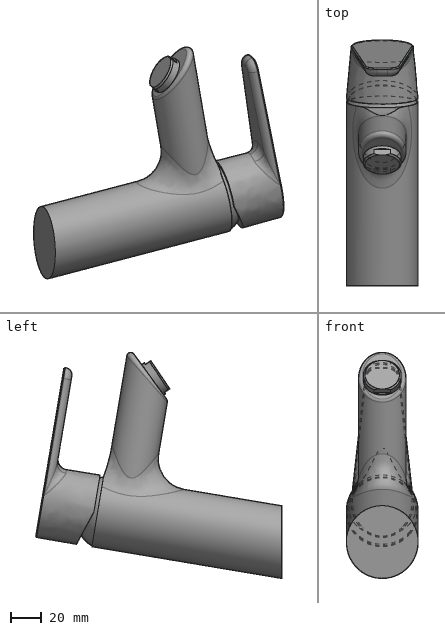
import cadquery as cq
import math

TILT = 9.5
SEARCH_MARGIN = 1.6

BODY_RADIUS = 23.2
BODY_BACK = 120.7
END_TRIM_ALLOWANCE = 15.9

SPOUT_RADIUS = 15.5
SPOUT_Y = 103.3
SPOUT_TOP = 119.4
SPOUT_BLEND = 19.9
REAR_CURVE_TOP = 41.4
REAR_CURVE_OFFSET = 0.5
MOUTH_HEIGHT = 93.3
MOUTH_ANGLE = 44.5
MOUTH_ROUND = 2.5

NOZZLE_RADIUS = 12.3
NOZZLE_END = (0, 95.4, 93.8)
NOZZLE_ANGLE = 46.5
NOZZLE_LENGTH = 12.7
NOZZLE_CHAMFER = 1.1
NOZZLE_FLATS = 22.0
FLAT_LENGTH = 4.1

CAP_FRONT = 123.0
CAP_BACK = 157.6
CAP_BACK_HALF_WIDTH = 20.0
CAP_FRONT_HALF_HEIGHT = 23.4
RELIEF_TOP = -0.8
RELIEF_DEPTH = 7.6
NECK_BACK = 135.3
NECK_BASE_RADIUS = 22.6
NECK_RADIUS = 17.8
NECK_CONE_BACK = 128.2
NECK_BULGE = 0.6

LEVER_THICKNESS = 6.0
LEVER_TOP = 88.2
LEVER_TIP_HALF_WIDTH = 10.5
LEVER_TIP_CORNER = 8.0
LEVER_EDGE_ROUND = 4.8
BACK_CHAMFER = 0.8
LEVER_BLEND = 6.4
LEVER_ROOT_ANGLE = 6
ROOT_HALF_WIDTH = 9.5
ROOT_BOTTOM = 12.7


def cylinder_along_y(radius, start, end):
    return cq.Workplane("XZ", origin=(0, start, 0)).circle(radius).extrude(start - end)


def make_spout():
    """Upright cylinder with a slanted, rounded mouth."""
    size = 4 * SPOUT_TOP
    spout = cq.Workplane("XY", origin=(0, SPOUT_Y, 0)).circle(SPOUT_RADIUS).extrude(SPOUT_TOP)
    above = cq.Workplane("XY").box(size, size, size).translate((0, 0, size / 2))
    above = above.rotate((0, 0, 0), (1, 0, 0), MOUTH_ANGLE).translate((0, SPOUT_Y, MOUTH_HEIGHT))
    return spout.cut(above).faces(">Z").edges().fillet(MOUTH_ROUND)


def make_body():
    """Barrel and spout with one blend, cut square at the back and upright at the front."""
    barrel = cylinder_along_y(BODY_RADIUS, -END_TRIM_ALLOWANCE, BODY_BACK + 2 * BODY_RADIUS)
    junction = cq.selectors.BoxSelector(
        (-BODY_RADIUS, SPOUT_Y - BODY_RADIUS, SEARCH_MARGIN),
        (BODY_RADIUS, SPOUT_Y + BODY_RADIUS, BODY_RADIUS + SEARCH_MARGIN),
    )
    body = barrel.union(make_spout()).edges(junction).fillet(SPOUT_BLEND)

    spout_back = SPOUT_Y + SPOUT_RADIUS
    far_back = BODY_BACK + 3 * BODY_RADIUS
    behind = (
        cq.Workplane("YZ")
        .moveTo(BODY_BACK, -2 * BODY_RADIUS)
        .lineTo(BODY_BACK, BODY_RADIUS)
        .threePointArc((spout_back + REAR_CURVE_OFFSET, (BODY_RADIUS + REAR_CURVE_TOP) / 2),
                       (spout_back, REAR_CURVE_TOP))
        .lineTo(far_back, REAR_CURVE_TOP)
        .lineTo(far_back, -2 * BODY_RADIUS)
        .close()
        .extrude(2 * BODY_RADIUS, both=True)
    )
    size = 4 * BODY_RADIUS
    front = cq.Workplane("XY").box(size, size, size).translate((0, -size / 2, 0))
    front = front.rotate((0, 0, 0), (1, 0, 0), -TILT)
    return body.cut(behind).cut(front)


def make_nozzle():
    """Short outlet with a chamfered end and two spanner flats."""
    nozzle = cq.Workplane("XY").circle(NOZZLE_RADIUS).extrude(-NOZZLE_LENGTH)
    nozzle = nozzle.faces(">Z").chamfer(NOZZLE_CHAMFER)
    end = cq.Workplane("XY").circle(NOZZLE_RADIUS).extrude(-FLAT_LENGTH)
    flats = end.cut(cq.Workplane("XY").box(2 * NOZZLE_RADIUS, NOZZLE_FLATS, 2 * FLAT_LENGTH))
    nozzle = nozzle.cut(flats)
    return nozzle.rotate((0, 0, 0), (1, 0, 0), NOZZLE_ANGLE).translate(NOZZLE_END)


def make_neck():
    """Rounded collar between the body and the cap, with a plain core inside the cap."""
    middle_radius = (NECK_BASE_RADIUS + NECK_RADIUS) / 2 + NECK_BULGE
    middle_y = (BODY_BACK + NECK_CONE_BACK) / 2
    return (
        cq.Workplane("XY")
        .moveTo(0, BODY_BACK)
        .lineTo(NECK_BASE_RADIUS, BODY_BACK)
        .threePointArc((middle_radius, middle_y), (NECK_RADIUS, NECK_CONE_BACK))
        .lineTo(NECK_RADIUS, NECK_BACK)
        .lineTo(0, NECK_BACK)
        .close()
        .revolve(360, (0, 0, 0), (0, 1, 0))
    )


def make_lever():
    """Blade tapering upward from the cap sides, rounded at the front and at the tip."""
    low_angle = math.radians(LEVER_ROOT_ANGLE)
    low_x = CAP_BACK_HALF_WIDTH * math.cos(low_angle)
    low_z = BODY_RADIUS * math.sin(low_angle)
    blade = (
        cq.Workplane("XZ", origin=(0, CAP_BACK, 0))
        .moveTo(-low_x, low_z)
        .lineTo(-LEVER_TIP_HALF_WIDTH, LEVER_TOP)
        .lineTo(LEVER_TIP_HALF_WIDTH, LEVER_TOP)
        .lineTo(low_x, low_z)
        .close()
        .extrude(LEVER_THICKNESS)
    )
    blade = blade.edges("|Y").edges(">Z").fillet(LEVER_TIP_CORNER)
    return blade.faces("<Y").edges("not <Z").fillet(LEVER_EDGE_ROUND)


def make_handle():
    """Cap tapering in width toward the back, relieved below at the front, with its lever."""
    cap = (
        cq.Workplane("XZ", origin=(0, CAP_BACK, 0))
        .ellipse(CAP_BACK_HALF_WIDTH, BODY_RADIUS)
        .workplane(offset=CAP_BACK - CAP_FRONT)
        .ellipse(BODY_RADIUS, CAP_FRONT_HALF_HEIGHT)
        .loft(ruled=True)
    )
    handle = cap.union(make_lever())
    blade_front = CAP_BACK - LEVER_THICKNESS
    root = cq.selectors.BoxSelector(
        (-ROOT_HALF_WIDTH, blade_front - SEARCH_MARGIN, ROOT_BOTTOM),
        (ROOT_HALF_WIDTH, blade_front + SEARCH_MARGIN, BODY_RADIUS + SEARCH_MARGIN),
    )
    handle = handle.edges(root).fillet(LEVER_BLEND)
    relief = (
        cq.Workplane("YZ")
        .polyline([(CAP_FRONT, RELIEF_TOP), (CAP_FRONT + RELIEF_DEPTH, -BODY_RADIUS),
                   (CAP_FRONT + RELIEF_DEPTH, -2 * BODY_RADIUS), (CAP_FRONT, -2 * BODY_RADIUS)])
        .close()
        .extrude(2 * BODY_RADIUS, both=True)
    )
    return handle.cut(relief).faces(">Y").chamfer(BACK_CHAMFER)


tap = make_body().union(make_nozzle()).union(make_neck()).union(make_handle())
result = tap.rotate((0, 0, 0), (1, 0, 0), TILT)